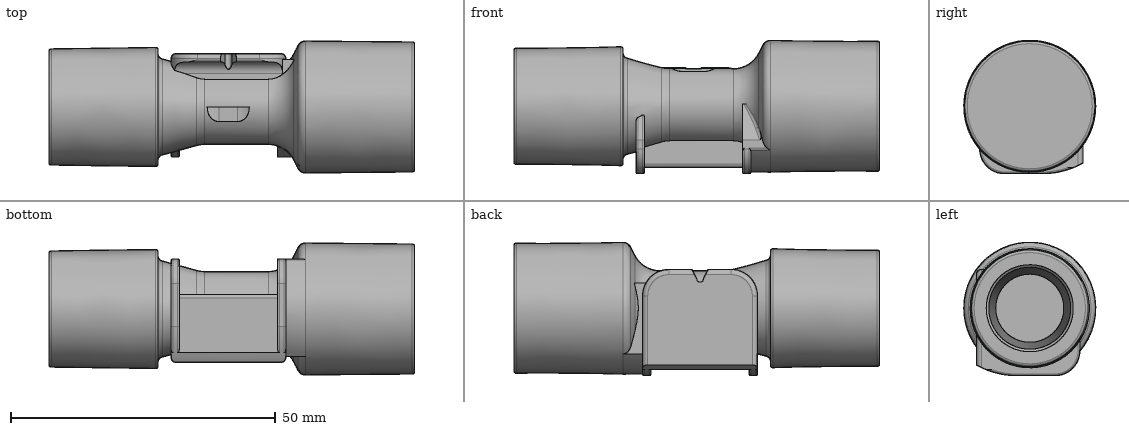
import cadquery as cq
import math

LENGTH = 69.3

MARGIN = 0.1

SMALL_END_X = 20.7
SMALL_TIP_R = 11.0
SMALL_BACK_R = 11.3
LARGE_START_X = 48.65
LARGE_BACK_R = 12.51
LARGE_TIP_R = 12.35
RIM_ROUND = 0.5

NECK_R = 7.1
NECK_START_X = 29.5
NECK_END_X = 41.6
CONE_ANGLE = math.radians(15.5)
CONE_BLEND_R = 5.7
CONE_START_X = 21.55
FLARE_ANGLE = math.radians(62.6)
FLARE_R = 5.4
SHOULDER_ROUND = 1.65
SHOULDER_CORNER_RISE = 1.05

SOCKET_MOUTH_R = 7.75
SOCKET_BOTTOM_R = 6.45
SOCKET_DEPTH = 27.7
SOCKET_CHAMFER = 0.5

PLATE_START_X = 23.15
PLATE_END_X = 44.9
PLATE_THICK = 1.6
PLATE_BOTTOM_Z = -12.785
PLATE_SIDE_Y = -9.5
PLATE_SIDE_TOP_Z = -6.4
PLATE_LEAN_Y = -7.55
PLATE_LEAN_Z = 0.4
PLATE_CORNER_R = 4.7
PLATE_BACK_Z = -10.75
PLATE_FLAT_END_Y = 3.3
PLATE_BELLY_SAG = 0.4
PLATE_EDGE_ROUND = 0.35

BODY_FRONT_Y = -2.8
BODY_BACK_Y = 10.1
BODY_BOTTOM_Z = -11.65
BODY_BOTTOM_ROUND = 0.7
LEDGE_Z = 4.8
FIN_FRONT_Y = 8.5
FIN_ROOT_R = 2.15
FIN_CORNER_R = 5.0
FIN_EDGE_ROUND = 0.4
FIN_TOP_Z = LEDGE_Z + FIN_ROOT_R + FIN_EDGE_ROUND
BACK_EDGE_R = 1.0

NOTCH_X = (PLATE_START_X + PLATE_END_X) / 2
NOTCH_BOTTOM_Z = 4.9
NOTCH_BOTTOM_R = 0.6
NOTCH_TOP_HALF = 1.5

GUSSET_BACK_Y = 9.0
GUSSET_CORNER_R = 0.7
GUSSET_EDGE_R = 0.7

RECESS_FLOOR_Z = 6.55
RECESS_START_X = 30.0
RECESS_END_X = 38.0
RECESS_FLOOR_START_X = 32.2
RECESS_WIDTH = 4.15


def make_tube():
    blend_r = NECK_R + CONE_BLEND_R * (1 - math.cos(CONE_ANGLE))
    blend_x = NECK_START_X - CONE_BLEND_R * math.sin(CONE_ANGLE)
    blend_mid_x = NECK_START_X - CONE_BLEND_R * math.sin(CONE_ANGLE / 2)
    blend_mid_r = NECK_R + CONE_BLEND_R * (1 - math.cos(CONE_ANGLE / 2))
    cone_start_r = blend_r + (blend_x - CONE_START_X) * math.tan(CONE_ANGLE)

    corner_leg = CONE_START_X - SMALL_END_X
    corner_top_r = cone_start_r + SHOULDER_CORNER_RISE
    corner_mid_x = SMALL_END_X + corner_leg * (1 - math.sqrt(0.5))
    corner_mid_r = cone_start_r + SHOULDER_CORNER_RISE * (1 - math.sqrt(0.5))

    flare_x = NECK_END_X + FLARE_R * math.sin(FLARE_ANGLE)
    flare_r = NECK_R + FLARE_R * (1 - math.cos(FLARE_ANGLE))
    flare_mid_x = NECK_END_X + FLARE_R * math.sin(FLARE_ANGLE / 2)
    flare_mid_r = NECK_R + FLARE_R * (1 - math.cos(FLARE_ANGLE / 2))
    round_x = LARGE_START_X - SHOULDER_ROUND * math.sin(FLARE_ANGLE)
    round_r = LARGE_BACK_R - SHOULDER_ROUND * (1 - math.cos(FLARE_ANGLE))
    round_mid_x = LARGE_START_X - SHOULDER_ROUND * math.sin(FLARE_ANGLE / 2)
    round_mid_r = LARGE_BACK_R - SHOULDER_ROUND * (1 - math.cos(FLARE_ANGLE / 2))

    tube = (
        cq.Workplane("XY")
        .moveTo(0, 0)
        .lineTo(0, SMALL_TIP_R)
        .lineTo(SMALL_END_X, SMALL_BACK_R)
        .lineTo(SMALL_END_X, corner_top_r)
        .threePointArc((corner_mid_x, corner_mid_r), (CONE_START_X, cone_start_r))
        .lineTo(blend_x, blend_r)
        .threePointArc((blend_mid_x, blend_mid_r), (NECK_START_X, NECK_R))
        .lineTo(NECK_END_X, NECK_R)
        .threePointArc((flare_mid_x, flare_mid_r), (flare_x, flare_r))
        .lineTo(round_x, round_r)
        .threePointArc((round_mid_x, round_mid_r), (LARGE_START_X, LARGE_BACK_R))
        .lineTo(LENGTH, LARGE_TIP_R)
        .lineTo(LENGTH, 0)
        .close()
        .revolve(360, (0, 0, 0), (1, 0, 0))
    )
    small_shoulder = cq.selectors.BoxSelector(
        (SMALL_END_X - MARGIN, -LENGTH, -LENGTH), (SMALL_END_X + MARGIN, LENGTH, LENGTH), boundingbox=True)
    tube = tube.faces("<X or >X").edges().fillet(RIM_ROUND)
    return tube.edges(small_shoulder).edges(cq.selectors.RadiusNthSelector(-1)).fillet(RIM_ROUND)


def make_socket():
    mouth_slope_r = SOCKET_MOUTH_R + SOCKET_CHAMFER
    return (
        cq.Workplane("XY")
        .polyline([
            (0, 0),
            (0, mouth_slope_r),
            (SOCKET_CHAMFER, SOCKET_MOUTH_R),
            (SOCKET_DEPTH, SOCKET_BOTTOM_R),
            (SOCKET_DEPTH, 0),
        ])
        .close()
        .revolve(360, (0, 0, 0), (1, 0, 0))
    )


def plate_prism(start_x, end_x, back_top_z):
    """Bracket outline extruded along X; its upper edge at the front ends inside the neck."""
    corner_y = PLATE_SIDE_Y + PLATE_CORNER_R
    corner_z = PLATE_BOTTOM_Z + PLATE_CORNER_R
    corner_offset = PLATE_CORNER_R * math.sqrt(0.5)
    belly_y = (PLATE_FLAT_END_Y + BODY_BACK_Y) / 2
    belly_z = (PLATE_BOTTOM_Z + PLATE_BACK_Z) / 2 - PLATE_BELLY_SAG
    return (
        cq.Workplane("YZ", origin=(start_x, 0, 0))
        .moveTo(0, back_top_z)
        .lineTo(0, PLATE_LEAN_Z)
        .lineTo(PLATE_LEAN_Y, PLATE_LEAN_Z)
        .lineTo(PLATE_SIDE_Y, PLATE_SIDE_TOP_Z)
        .lineTo(PLATE_SIDE_Y, corner_z)
        .threePointArc((corner_y - corner_offset, corner_z - corner_offset), (corner_y, PLATE_BOTTOM_Z))
        .lineTo(PLATE_FLAT_END_Y, PLATE_BOTTOM_Z)
        .threePointArc((belly_y, belly_z), (BODY_BACK_Y, PLATE_BACK_Z))
        .lineTo(BODY_BACK_Y, back_top_z)
        .close()
        .extrude(end_x - start_x)
    )


def make_plate(start_x):
    plate = plate_prism(start_x, start_x + PLATE_THICK, LEDGE_Z)
    outline = cq.selectors.BoxSelector(
        (0, -LENGTH, -LENGTH), (LENGTH, BODY_BACK_Y - MARGIN, PLATE_LEAN_Z - MARGIN))
    return plate.faces("<X or >X").edges(outline).fillet(PLATE_EDGE_ROUND)


def make_body():
    root_y = FIN_FRONT_Y - FIN_ROOT_R
    root_z = LEDGE_Z + FIN_ROOT_R
    root_offset = FIN_ROOT_R * math.sqrt(0.5)
    body = (
        cq.Workplane("YZ", origin=(PLATE_START_X, 0, 0))
        .moveTo(BODY_FRONT_Y, 0)
        .lineTo(BODY_FRONT_Y, BODY_BOTTOM_Z)
        .lineTo(BODY_BACK_Y, BODY_BOTTOM_Z)
        .lineTo(BODY_BACK_Y, FIN_TOP_Z)
        .lineTo(FIN_FRONT_Y + FIN_EDGE_ROUND, FIN_TOP_Z)
        .radiusArc((FIN_FRONT_Y, FIN_TOP_Z - FIN_EDGE_ROUND), -FIN_EDGE_ROUND)
        .threePointArc((root_y + root_offset, root_z - root_offset), (root_y, LEDGE_Z))
        .lineTo(0, LEDGE_Z)
        .lineTo(0, 0)
        .close()
        .extrude(PLATE_END_X - PLATE_START_X)
    )
    front_bottom = cq.selectors.NearestToPointSelector((NOTCH_X, BODY_FRONT_Y, BODY_BOTTOM_Z))
    body = body.edges(front_bottom).fillet(BODY_BOTTOM_ROUND)
    return body.intersect(plate_prism(PLATE_START_X, PLATE_END_X, FIN_TOP_Z))


def make_side_profile():
    """Envelope of the bracket: rounded upper corners and a rounded back edge."""
    return (
        cq.Workplane("XZ", origin=(0, BODY_BACK_Y, 0))
        .moveTo(PLATE_START_X, PLATE_BOTTOM_Z)
        .lineTo(PLATE_END_X, PLATE_BOTTOM_Z)
        .lineTo(PLATE_END_X, FIN_TOP_Z)
        .lineTo(PLATE_START_X, FIN_TOP_Z)
        .close()
        .extrude(BODY_BACK_Y - PLATE_SIDE_Y)
        .edges("|Y and >Z")
        .fillet(FIN_CORNER_R)
        .faces(">Y")
        .edges("not <Z")
        .fillet(BACK_EDGE_R)
    )


def make_notch():
    return (
        cq.Workplane("XZ", origin=(0, BODY_BACK_Y, 0))
        .moveTo(NOTCH_X - NOTCH_TOP_HALF, FIN_TOP_Z)
        .lineTo(NOTCH_X - NOTCH_BOTTOM_R, NOTCH_BOTTOM_Z + NOTCH_BOTTOM_R)
        .threePointArc((NOTCH_X, NOTCH_BOTTOM_Z), (NOTCH_X + NOTCH_BOTTOM_R, NOTCH_BOTTOM_Z + NOTCH_BOTTOM_R))
        .lineTo(NOTCH_X + NOTCH_TOP_HALF, FIN_TOP_Z)
        .close()
        .extrude(BODY_BACK_Y)
    )


def make_bracket():
    bracket = make_body()
    for start_x in (PLATE_START_X, PLATE_END_X - PLATE_THICK):
        bracket = bracket.union(make_plate(start_x))
    return bracket.intersect(make_side_profile()).cut(make_notch())


def make_gusset():
    """Plate outline carried on to the large connector and kept within its radius."""
    start_x = PLATE_END_X - PLATE_THICK
    run = LARGE_START_X - start_x
    edge_z = -math.sqrt(LARGE_BACK_R ** 2 - PLATE_SIDE_Y ** 2)
    lower_edge = cq.selectors.NearestToPointSelector((start_x + run / 2, PLATE_SIDE_Y, edge_z))
    width = GUSSET_BACK_Y - PLATE_SIDE_Y
    width_limit = cq.Workplane("XY").box(run, width, 2 * LARGE_BACK_R, centered=(False, False, True))
    envelope = (
        cq.Workplane("YZ", origin=(start_x, 0, 0))
        .circle(LARGE_BACK_R)
        .extrude(run)
        .intersect(width_limit.translate((start_x, PLATE_SIDE_Y, 0)))
        .edges(lower_edge)
        .fillet(GUSSET_EDGE_R)
    )
    return plate_prism(start_x, LARGE_START_X, LEDGE_Z).intersect(envelope)


def make_recess():
    depth = NECK_R - RECESS_FLOOR_Z
    run = RECESS_FLOOR_START_X - RECESS_START_X
    end_r = (run ** 2 + depth ** 2) / (2 * depth)
    return (
        cq.Workplane("XZ")
        .moveTo(RECESS_START_X, NECK_R)
        .radiusArc((RECESS_FLOOR_START_X, RECESS_FLOOR_Z), -end_r)
        .lineTo(RECESS_END_X - run, RECESS_FLOOR_Z)
        .radiusArc((RECESS_END_X, NECK_R), -end_r)
        .close()
        .extrude(RECESS_WIDTH)
    )


def make_shell():
    """Tube, gusset and bracket joined, with a rounded corner where the gusset meets the flare."""
    shell = make_tube().union(make_gusset())
    gusset_corner = cq.selectors.BoxSelector(
        (PLATE_END_X - PLATE_THICK + MARGIN, PLATE_SIDE_Y - MARGIN, PLATE_SIDE_TOP_Z),
        (LARGE_START_X, PLATE_LEAN_Y, PLATE_LEAN_Z - MARGIN))
    shell = shell.edges(gusset_corner).edges("not |X").edges("not #X").fillet(GUSSET_CORNER_R)
    return shell.union(make_bracket())


result = make_shell().cut(make_recess()).cut(make_socket())